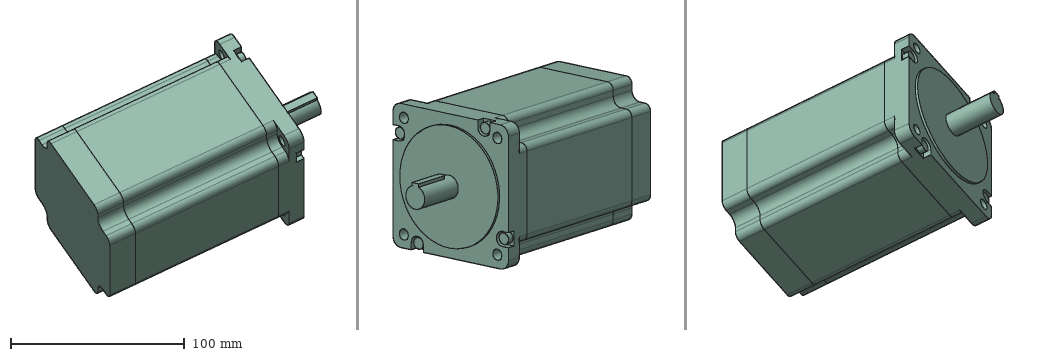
import cadquery as cq
import math


TOTAL_LENGTH = 161.0
FRAME_SIDE = 86.0
HALF_SIDE = FRAME_SIDE / 2

SHAFT_REACH = 32.0
PILOT_HEIGHT = 1.6
FLANGE_LENGTH = 16.9
PLATE_THICKNESS = 10.0
CAP_LENGTH = 17.0

MOUNT_FACE_Y = TOTAL_LENGTH - SHAFT_REACH
PLATE_BACK_Y = MOUNT_FACE_Y - PLATE_THICKNESS
STATOR_FRONT_Y = MOUNT_FACE_Y - FLANGE_LENGTH
STATOR_BACK_Y = CAP_LENGTH
PILOT_FACE_Y = MOUNT_FACE_Y + PILOT_HEIGHT

NOTCH_WALL = 29.1
NOTCH_OUTER_RADIUS = 4.3
NOTCH_INNER_RADIUS = 6.0

PLATE_CORNER_RADIUS = 6.0
MOUNT_HOLE_OFFSET = 34.8
MOUNT_HOLE_DIAMETER = 6.6
PILOT_DIAMETER = 73.0

SCREW_COUNT = 4
SCREW_SIDE_OFFSET = 24.8
SCREW_DEPTH_OFFSET = 38.6
SCREW_HEAD_DIAMETER = 7.0
SCREW_HEAD_HEIGHT = 4.0
SCREW_SLOT_WIDTH = 9.0
SCREW_SLOT_DEPTH = 5.2
SLOT_FLOOR_Y = MOUNT_FACE_Y - SCREW_SLOT_DEPTH

SHAFT_DIAMETER = 14.0
KEY_WIDTH = 5.0
KEY_LENGTH = 25.0
KEY_TOP_Z = 8.5


def section_at(y):
    """Sketch plane across the motor axis; a negative extrusion runs toward +Y."""
    return cq.Workplane("XZ", origin=(0, y, 0))


def axis_distance(edge):
    """Distance of an edge's centre from the motor axis."""
    centre = edge.Center()
    return math.hypot(centre.x, centre.z)


def notched_frame(start_y, end_y):
    """Square bar with a rounded notch along each corner."""
    length = end_y - start_y
    notch_depth = HALF_SIDE - NOTCH_WALL
    blank = section_at(start_y).rect(FRAME_SIDE, FRAME_SIDE).extrude(-length)
    notches = (
        section_at(start_y)
        .rect(FRAME_SIDE, FRAME_SIDE, forConstruction=True)
        .vertices()
        .rect(2 * notch_depth, 2 * notch_depth)
        .extrude(-length)
    )
    frame = blank.cut(notches)

    split_radius = (math.hypot(NOTCH_WALL, NOTCH_WALL) + math.hypot(NOTCH_WALL, HALF_SIDE)) / 2
    long_edges = frame.edges("|Y")
    inner_edges = long_edges.filter(lambda edge: axis_distance(edge) < split_radius)
    outer_edges = long_edges.filter(lambda edge: axis_distance(edge) > split_radius)
    inner_rounded = inner_edges.fillet(NOTCH_INNER_RADIUS)
    return inner_rounded.newObject(outer_edges.vals()).fillet(NOTCH_OUTER_RADIUS)


def rotated_copies(body):
    """One copy of the body on each side of the motor."""
    step = 360 / SCREW_COUNT
    return [body.rotate((0, 0, 0), (0, 1, 0), i * step) for i in range(SCREW_COUNT)]


def make_screw_slot():
    """Cutter for the upper slot: round inner end, open to the top side and the mounting face."""
    radius = SCREW_SLOT_WIDTH / 2
    return (
        section_at(SLOT_FLOOR_Y)
        .moveTo(-SCREW_SIDE_OFFSET - radius, HALF_SIDE)
        .lineTo(-SCREW_SIDE_OFFSET - radius, SCREW_DEPTH_OFFSET)
        .threePointArc(
            (-SCREW_SIDE_OFFSET, SCREW_DEPTH_OFFSET - radius),
            (-SCREW_SIDE_OFFSET + radius, SCREW_DEPTH_OFFSET),
        )
        .lineTo(-SCREW_SIDE_OFFSET + radius, HALF_SIDE)
        .close()
        .extrude(-SCREW_SLOT_DEPTH)
    )


def make_flange():
    """Mounting plate with a pilot boss in front and a notched skirt behind."""
    plate = (
        section_at(PLATE_BACK_Y)
        .rect(FRAME_SIDE, FRAME_SIDE)
        .extrude(-PLATE_THICKNESS)
        .edges("|Y")
        .fillet(PLATE_CORNER_RADIUS)
    )
    skirt = notched_frame(STATOR_FRONT_Y, PLATE_BACK_Y)
    pilot = section_at(MOUNT_FACE_Y).circle(PILOT_DIAMETER / 2).extrude(-PILOT_HEIGHT)
    mount_holes = (
        section_at(PLATE_BACK_Y)
        .rect(2 * MOUNT_HOLE_OFFSET, 2 * MOUNT_HOLE_OFFSET, forConstruction=True)
        .vertices()
        .circle(MOUNT_HOLE_DIAMETER / 2)
        .extrude(-PLATE_THICKNESS)
    )
    flange = plate.union(skirt).cut(mount_holes)
    for slot in rotated_copies(make_screw_slot()):
        flange = flange.cut(slot)
    return flange.union(pilot)


def make_screw():
    """Screw head standing on the floor of the upper slot."""
    return (
        section_at(SLOT_FLOOR_Y)
        .center(-SCREW_SIDE_OFFSET, SCREW_DEPTH_OFFSET)
        .circle(SCREW_HEAD_DIAMETER / 2)
        .extrude(-SCREW_HEAD_HEIGHT)
    )


def make_shaft():
    """Output shaft standing on the pilot, with a raised key that is round at its inner end."""
    shaft = section_at(PILOT_FACE_Y).circle(SHAFT_DIAMETER / 2).extrude(PILOT_FACE_Y - TOTAL_LENGTH)
    key_half = KEY_WIDTH / 2
    key_inner_y = TOTAL_LENGTH - KEY_LENGTH
    key = (
        cq.Workplane("XY")
        .moveTo(-key_half, TOTAL_LENGTH)
        .lineTo(-key_half, key_inner_y + key_half)
        .threePointArc((0, key_inner_y), (key_half, key_inner_y + key_half))
        .lineTo(key_half, TOTAL_LENGTH)
        .close()
        .extrude(KEY_TOP_Z)
    )
    return shaft.union(key)


flange = make_flange()
stator = notched_frame(STATOR_BACK_Y, STATOR_FRONT_Y)
rear_cap = notched_frame(0, STATOR_BACK_Y)
shaft = make_shaft()
screws = rotated_copies(make_screw())

result = cq.Compound.makeCompound(
    [
        flange.val(),
        stator.val(),
        rear_cap.val(),
        shaft.val(),
        *[screw.val() for screw in screws],
    ]
)